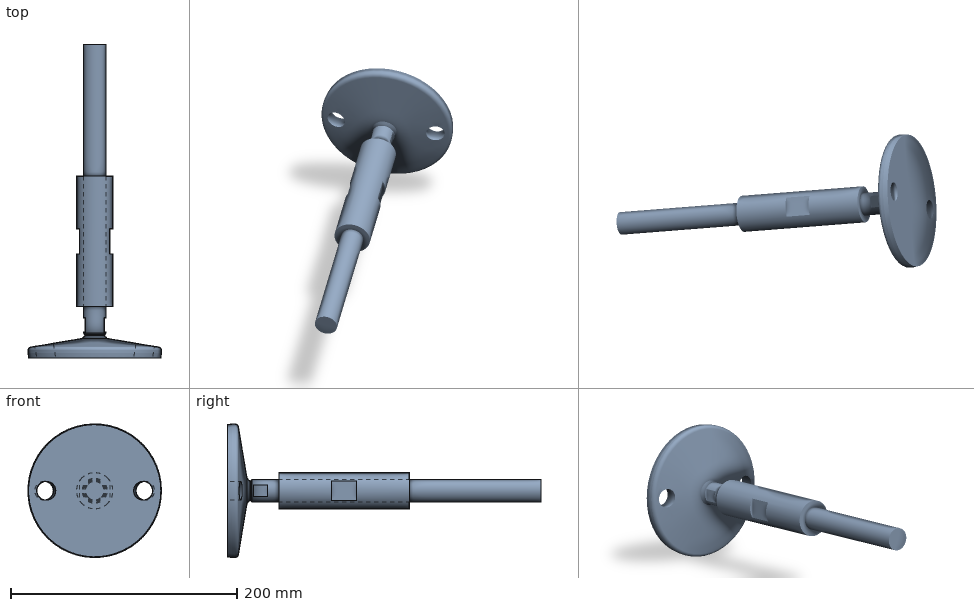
import cadquery as cq
import math

total_length = 277.0

foot_radius = 117.98 / 2
floor_radius = 58.4
lower_rim_height = 4.1
upper_rim_height = 6.9
cone_slope = 9.5
shoulder_radius = 56.2
shoulder_height = 9.75
collar_base_radius = 11.0
collar_top_radius = 8.2
collar_top_height = 20.1

cone_rise = (shoulder_radius - collar_base_radius) * math.tan(math.radians(cone_slope))
collar_base_height = shoulder_height + cone_rise

hole_diameter = 16.5
hole_offset = 42.75
hole_cut_length = 4 * collar_top_height

spindle_diameter = 20.0
neck_radius = collar_top_radius
neck_length = 0.8
end_chamfer = 1.0
end_height = collar_top_height + neck_length
flat_land = 0.9
spindle_flat_width = 17.0
spindle_flat_bottom = end_height + end_chamfer + flat_land
spindle_flat_top = 35.5

sleeve_diameter = 32.0
sleeve_bottom = 45.4
sleeve_length = 115.2
sleeve_flat_width = 27.0
sleeve_flat_length = 22.0


def wrench_flats(diameter, width, bottom, top):
    """Two side blocks that leave a round bar the given width across X."""
    depth = (diameter - width) / 2
    cutters = cq.Workplane("XY")
    for side in (-1, 1):
        block = cq.Workplane("XY").box(2 * depth, top - bottom, diameter)
        cutters = cutters.add(block.translate((side * (width / 2 + depth), (bottom + top) / 2, 0)))
    return cutters.combine()


def make_foot():
    plate = (
        cq.Workplane("XY")
        .moveTo(0, collar_top_height)
        .lineTo(collar_top_radius, collar_top_height)
        .lineTo(collar_base_radius, collar_base_height)
        .lineTo(shoulder_radius, shoulder_height)
        .tangentArcPoint((foot_radius, upper_rim_height), relative=False)
        .lineTo(foot_radius, lower_rim_height)
        .lineTo(floor_radius, 0)
        .lineTo(0, 0)
        .close()
        .revolve(360, (0, 0, 0), (0, 1, 0))
    )
    for side in (-1, 1):
        pin = cq.Workplane("XZ").circle(hole_diameter / 2).extrude(hole_cut_length / 2, both=True)
        pin = pin.rotate((0, 0, 0), (0, 0, 1), -side * cone_slope)
        plate = plate.cut(pin.translate((side * hole_offset, 0, 0)))
    return plate


def make_spindle():
    bar_radius = spindle_diameter / 2
    bar = (
        cq.Workplane("XY")
        .moveTo(0, collar_top_height)
        .lineTo(neck_radius, collar_top_height)
        .lineTo(neck_radius, end_height)
        .lineTo(bar_radius - end_chamfer, end_height)
        .lineTo(bar_radius, end_height + end_chamfer)
        .lineTo(bar_radius, total_length)
        .lineTo(0, total_length)
        .close()
        .revolve(360, (0, 0, 0), (0, 1, 0))
    )
    return bar.cut(
        wrench_flats(spindle_diameter, spindle_flat_width, spindle_flat_bottom, spindle_flat_top)
    )


def make_sleeve():
    tube = (
        cq.Workplane("XZ", origin=(0, sleeve_bottom, 0))
        .circle(sleeve_diameter / 2)
        .circle(spindle_diameter / 2)
        .extrude(-sleeve_length)
    )
    middle = sleeve_bottom + sleeve_length / 2
    half_flat = sleeve_flat_length / 2
    return tube.cut(
        wrench_flats(sleeve_diameter, sleeve_flat_width, middle - half_flat, middle + half_flat)
    )


foot = make_foot()
spindle = make_spindle()
sleeve = make_sleeve()
result = cq.Compound.makeCompound([foot.val(), spindle.val(), sleeve.val()])